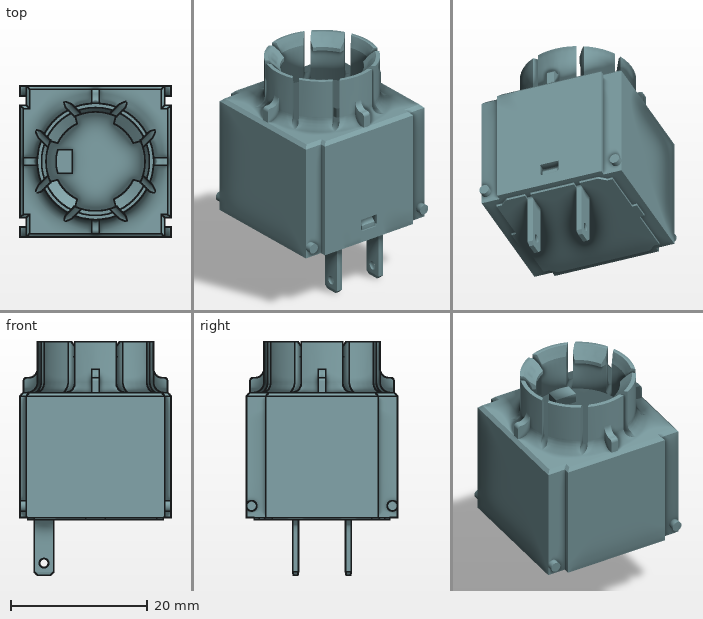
import cadquery as cq
import math

total_height = 34.3
body_size = 22.2
half_body = body_size / 2
body_top = 18.35
edge_bevel = 0.5
corner_step_x = 0.93
side_face_half = 8.27

pin_diameter = 1.5
pin_axis_z = 1.7

collar_outer_radius = 8.55
collar_inner_radius = 7.27
collar_mouth_radius = 7.93
collar_wall_middle = (collar_mouth_radius + collar_outer_radius) / 2
collar_top = 25.85
collar_height = collar_top - body_top
mouth_depth = 1.65
root_fillet = 1.5
slot_width = 1.0
slot_offset = 3.0

lug_radius = 6.18
lug_lip = 0.6
lug_end_half_width = 2.02
lug_flare = 30

rib_width = 1.1
rib_reach = half_body - edge_bevel
rib_height = 2.2
rib_fillet = 1.25
rib_round = 0.5

block_radius = 5.8
block_inner_x = 3.43
block_width = 3.4
block_height = 1.48

window_width = 2.95
window_bottom = 1.82
window_top = 3.7
window_depth = 1.27
window_corner = (0.27, 0.35)
latch_width = 2.37
latch_recess = 0.2
latch_front_height = 0.72

plate_thickness = 0.35
plate_reach = 9.95
plate_side_x = 9.02
plate_side_y = 9.2
plate_key_half = 1.45
plate_slant_outer = 8.37
plate_slant_inner = 7.27

blade_width = 2.9
blade_thickness = 0.85
blade_x = -plate_side_x + blade_width / 2
blade_y = 3.88
blade_tip = total_height - collar_top
blade_end_bevel = 0.5
blade_face_bevel = 0.1
blade_hole_diameter = 1.3
blade_hole_depth = 6.7


def box_between(x_range, y_range, z_range):
    """Box given by its limits along each axis."""
    size = [high - low for low, high in (x_range, y_range, z_range)]
    corner = (x_range[0], y_range[0], z_range[0])
    return cq.Workplane("XY").box(*size, centered=False).translate(corner)


def turned(shape, angle):
    """Shape turned about the Z axis by an angle in degrees."""
    return shape.rotate((0, 0, 0), (0, 0, 1), angle)


def four_around(shape, first_angle):
    """Four copies of a shape, a quarter turn apart about the Z axis."""
    copies = turned(shape, first_angle)
    for quarter in (1, 2, 3):
        copies = copies.union(turned(shape, first_angle + 90 * quarter))
    return copies


def housing():
    """Block with relieved vertical corners, bevelled round the top."""
    inner_x = half_body - corner_step_x
    wide = cq.Workplane("XY").rect(body_size, 2 * side_face_half).extrude(body_top)
    deep = cq.Workplane("XY").rect(2 * inner_x, body_size).extrude(body_top)
    return wide.union(deep).faces(">Z").chamfer(edge_bevel)


def corner_pins():
    """Four round pins that stand in the corner reliefs."""
    radius = pin_diameter / 2
    axis_y = half_body - radius
    return (
        cq.Workplane("YZ")
        .pushPoints([(-axis_y, pin_axis_z), (axis_y, pin_axis_z)])
        .circle(radius)
        .extrude(half_body, both=True)
    )


def collar_ring():
    """Turned collar with a flared mouth and a concave fillet at its root."""
    root_top = body_top + root_fillet
    root_radius = collar_outer_radius + root_fillet
    arc_offset = root_fillet * (1 - math.sqrt(0.5))
    return (
        cq.Workplane("XZ")
        .moveTo(collar_inner_radius, body_top)
        .lineTo(root_radius, body_top)
        .threePointArc(
            (collar_outer_radius + arc_offset, body_top + arc_offset),
            (collar_outer_radius, root_top),
        )
        .lineTo(collar_outer_radius, collar_top)
        .lineTo(collar_mouth_radius, collar_top)
        .lineTo(collar_inner_radius, collar_top - mouth_depth)
        .close()
        .revolve(360, (0, 0), (0, 1))
    )


def snap_lugs():
    """Sloped lugs, trimmed from one ring by a flared wedge along each diagonal."""
    lip_top = collar_top - mouth_depth
    ring = (
        cq.Workplane("XZ")
        .moveTo(lug_radius, lip_top - lug_lip)
        .lineTo(collar_wall_middle, lip_top - lug_lip)
        .lineTo(collar_wall_middle, collar_top)
        .lineTo(collar_mouth_radius, collar_top)
        .lineTo(lug_radius, lip_top)
        .close()
        .revolve(360, (0, 0), (0, 1))
    )
    lip_end = math.sqrt(lug_radius**2 - lug_end_half_width**2)
    apex = lip_end - lug_end_half_width / math.tan(math.radians(lug_flare))
    outer_half_width = (collar_outer_radius - apex) * math.tan(math.radians(lug_flare))
    wedge = (
        cq.Workplane("XY")
        .workplane(offset=body_top)
        .moveTo(apex, 0)
        .lineTo(collar_outer_radius, outer_half_width)
        .lineTo(collar_outer_radius, -outer_half_width)
        .close()
        .extrude(collar_height)
    )
    return four_around(ring.intersect(wedge), 45)


def collar_slots():
    """Round-bottomed slots in pairs, parallel to both diagonals."""
    radius = slot_width / 2
    reach = 2 * collar_outer_radius
    pair = (
        cq.Workplane("YZ")
        .pushPoints([(-slot_offset, body_top + radius), (slot_offset, body_top + radius)])
        .circle(radius)
        .extrude(reach, both=True)
    )
    for side in (-slot_offset, slot_offset):
        pair = pair.union(
            box_between(
                (-reach, reach),
                (side - radius, side + radius),
                (body_top + radius, collar_top + radius),
            )
        )
    return turned(pair, 45).union(turned(pair, -45))


def collar_ribs():
    """Four buttress ribs that blend into the collar with a concave arc."""
    rib_top = body_top + rib_height
    arc_offset = rib_fillet * (1 - math.sqrt(0.5))
    round_offset = rib_round * (1 - math.sqrt(0.5))
    rib = (
        cq.Workplane("XZ")
        .moveTo(collar_wall_middle, body_top)
        .lineTo(rib_reach, body_top)
        .lineTo(rib_reach, rib_top - rib_round)
        .threePointArc(
            (rib_reach - round_offset, rib_top - round_offset),
            (rib_reach - rib_round, rib_top),
        )
        .lineTo(collar_outer_radius + rib_fillet, rib_top)
        .threePointArc(
            (collar_outer_radius + arc_offset, rib_top + arc_offset),
            (collar_outer_radius, rib_top + rib_fillet),
        )
        .lineTo(collar_wall_middle, rib_top + rib_fillet)
        .close()
        .extrude(rib_width / 2, both=True)
    )
    return four_around(rib, 0)


def floor_block():
    """Block on the collar floor with a round outer face."""
    disc = cq.Workplane("XY").workplane(offset=body_top).circle(block_radius).extrude(block_height)
    limits = box_between(
        (-block_radius, -block_inner_x),
        (-block_width / 2, block_width / 2),
        (body_top, body_top + block_height),
    )
    return disc.intersect(limits)


def latch_window():
    """Window pocket with bevelled lower corners, less the latch left standing in it."""
    corner_y, corner_z = window_corner
    half_width = window_width / 2
    pocket = (
        cq.Workplane("YZ")
        .workplane(offset=-half_body)
        .moveTo(-half_width, window_top)
        .lineTo(-half_width, window_bottom + corner_z)
        .lineTo(-half_width + corner_y, window_bottom)
        .lineTo(half_width - corner_y, window_bottom)
        .lineTo(half_width, window_bottom + corner_z)
        .lineTo(half_width, window_top)
        .close()
        .extrude(window_depth)
    )
    latch_front = latch_recess - half_body
    latch_back = window_depth - half_body
    latch = (
        cq.Workplane("XZ")
        .moveTo(latch_front, window_bottom)
        .lineTo(latch_front, window_bottom + latch_front_height)
        .lineTo(latch_back, window_top)
        .lineTo(latch_back, window_bottom)
        .close()
        .extrude(latch_width / 2, both=True)
    )
    return pocket.cut(latch)


def base_plate():
    """Thin plate: a rectangle with slant-ended side tabs and two square keys.

    The -X tab is notched in front of the two blades.
    """
    core = cq.Workplane("XY").rect(2 * plate_side_x, 2 * plate_side_y).extrude(-plate_thickness)
    keys = cq.Workplane("XY").rect(2 * plate_key_half, 2 * plate_reach).extrude(-plate_thickness)
    side_tabs = (
        cq.Workplane("XY")
        .moveTo(plate_reach, -plate_slant_inner)
        .lineTo(plate_reach, plate_slant_inner)
        .lineTo(plate_side_x, plate_slant_outer)
        .lineTo(-plate_side_x, plate_slant_outer)
        .lineTo(-plate_reach, plate_slant_inner)
        .lineTo(-plate_reach, -plate_slant_inner)
        .lineTo(-plate_side_x, -plate_slant_outer)
        .lineTo(plate_side_x, -plate_slant_outer)
        .close()
        .extrude(-plate_thickness)
    )
    plate = core.union(keys).union(side_tabs)
    for y in (-blade_y, blade_y):
        notch = box_between(
            (-plate_reach, -plate_side_x),
            (y - blade_thickness / 2, y + blade_thickness / 2),
            (-plate_thickness, 0),
        )
        plate = plate.cut(notch)
    return plate


def blade_terminals():
    """Two flat blades with a bevelled tip and a cross hole."""
    blade = (
        box_between(
            (blade_x - blade_width / 2, blade_x + blade_width / 2),
            (-blade_thickness / 2, blade_thickness / 2),
            (-blade_tip, 0),
        )
        .faces("<Z")
        .edges("|Y")
        .chamfer(blade_end_bevel)
        .faces("<Z")
        .edges("|X")
        .chamfer(blade_end_bevel, blade_face_bevel)
    )
    hole = (
        cq.Workplane("XZ")
        .center(blade_x, -blade_hole_depth)
        .circle(blade_hole_diameter / 2)
        .extrude(blade_thickness, both=True)
    )
    blade = blade.cut(hole)
    return blade.translate((0, blade_y, 0)).union(blade.translate((0, -blade_y, 0)))


collar = collar_ring().union(snap_lugs()).cut(collar_slots())

result = (
    housing()
    .union(corner_pins())
    .union(collar)
    .union(collar_ribs())
    .union(floor_block())
    .cut(latch_window())
    .union(base_plate())
    .union(blade_terminals())
)